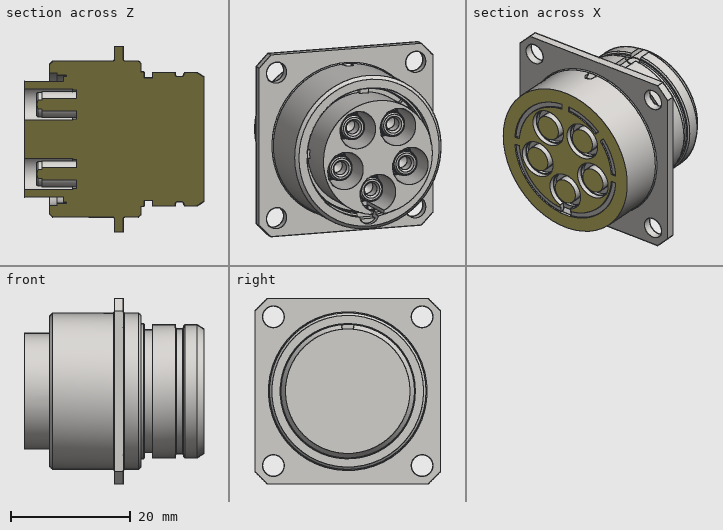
import cadquery as cq
import math

overall_length = 30.0

flange_size = 31.0
flange_front = 15.05
flange_back = 16.52
flange_corner = 2.1
flange_hole_pitch = 24.8
flange_hole_diameter = 3.55

shell_front = 4.2
shell_back = 19.47
shell_radius = 13.05
shell_front_chamfer = 0.55
shell_back_chamfer = 0.4
flare = 0.2

collar_radius = 11.28
collar_back = 20.03
collar_chamfer = 0.15
neck_radius = 10.25
sleeve_front = 21.35
sleeve_radius = 11.15
groove_front = 25.2
groove_back = 26.8
groove_radius = 10.48
groove_foot = 0.2
groove_lip = 0.25
tail_length = 1.2
tail_drop = 0.78

bore_steps = [(11.05, 1.25), (10.65, 2.8), (10.55, 3.25)]

notch_radius = 1.75
notch_centre = 10.45
notch_depth = 0.93
notch_floor = 11.4
notch_floor_depth = 2.48

insert_radius = 9.7
key_width = 1.45
key_front = 6.5
key_angles = [0, 45, 90, 180]
slot_width = 2.1
slot_depth = 8.05
ramp_width = 1.75
ramp_inner = 9.83
ramp_outer = 10.42

contact_count = 5
contact_circle = 6.08
socket_radius = 3.15
socket_inner_radius = 3.05
socket_step_depth = 8.05
socket_depth = 8.68
contact_radius = 2.17
contact_tip_radius = 2.05
contact_tip_length = 0.93
contact_front = 2.0
bottom_contact_front = 2.9
contact_chamfer = 0.25
pin_hole_radius = 1.12
pin_hole_depth = 2.48
pin_hole_countersink = 0.3
pin_hole_countersink_depth = 0.5
pin_hole_point = 0.62

locator_width = 1.52
locator_front = 13.05
locator_depth = 0.55
locator_ramp_start = 14.0

sleeve_slot_width = 2.15
sleeve_slot_floor_width = 1.8
sleeve_slot_floor = 10.4
dimple_radius = 1.02
dimple_depth = 0.1

overlap = 0.3

FACE = cq.Plane(origin=(0, 0, 0), xDir=(0, 1, 0), normal=(1, 0, 0))


def cylinder(front, back, radius, y=0, z=0):
    return cq.Workplane(FACE).workplane(offset=front).center(y, z).circle(radius).extrude(back - front)


def block(front, back, width, bottom, top):
    length = back - front
    height = top - bottom
    solid = cq.Workplane("XY").box(length, width, height, centered=(False, True, False))
    return solid.translate((front, 0, bottom))


def revolve_about_x(profile, y=0, z=0):
    """Revolve (x, radius) points about an axis parallel to X."""
    solid = cq.Workplane("XY").polyline(profile).close().revolve(360, (0, 0, 0), (1, 0, 0))
    return solid.translate((0, y, z))


def make_body():
    tail_front = overall_length - tail_length
    return revolve_about_x([
        (shell_front, 0),
        (shell_front, shell_radius - shell_front_chamfer),
        (shell_front + shell_front_chamfer, shell_radius),
        (flange_front - flare, shell_radius),
        (flange_front, shell_radius + flare),
        (flange_back, shell_radius + flare),
        (flange_back + flare, shell_radius),
        (shell_back - shell_back_chamfer, shell_radius),
        (shell_back, shell_radius - shell_back_chamfer),
        (shell_back, collar_radius),
        (collar_back - collar_chamfer, collar_radius),
        (collar_back, collar_radius - collar_chamfer),
        (collar_back, neck_radius),
        (sleeve_front, neck_radius),
        (sleeve_front, sleeve_radius),
        (groove_front, sleeve_radius),
        (groove_front, groove_radius + groove_foot),
        (groove_front + groove_foot, groove_radius),
        (groove_back - groove_lip - groove_foot, groove_radius),
        (groove_back - groove_lip, groove_radius + groove_foot),
        (groove_back - groove_lip, sleeve_radius - groove_lip),
        (groove_back, sleeve_radius),
        (tail_front, sleeve_radius),
        (overall_length, sleeve_radius - tail_drop),
        (overall_length, 0),
    ])


def make_flange():
    plate = block(flange_front, flange_back, flange_size, -flange_size / 2, flange_size / 2)
    plate = plate.edges("|X").chamfer(flange_corner)
    for y_side in (-1, 1):
        for z_side in (-1, 1):
            y = y_side * flange_hole_pitch / 2
            z = z_side * flange_hole_pitch / 2
            plate = plate.cut(cylinder(flange_front, flange_back, flange_hole_diameter / 2, y, z))
    return plate


def make_bore():
    """Stepped bore with a round notch that becomes flat-bottomed behind its front part."""
    notch_step = shell_front + notch_depth
    notch_back = shell_front + notch_floor_depth
    bore = cylinder(shell_front, notch_back, notch_radius, 0, -notch_centre)
    bore = bore.cut(block(notch_step, notch_back, shell_radius, -shell_radius, -notch_floor))
    front = shell_front
    for radius, depth in bore_steps:
        back = shell_front + depth
        bore = bore.union(cylinder(front, back, radius))
        front = back
    return bore


def make_insert():
    bore_radius, bore_depth = bore_steps[-1]
    bore_floor = shell_front + bore_depth
    insert = cylinder(0, bore_floor + overlap, insert_radius)
    key = block(key_front, bore_floor + overlap, key_width, 0, bore_radius)
    for angle in key_angles:
        insert = insert.union(key.rotate((0, 0, 0), (1, 0, 0), 90 - angle))
    return insert


def make_socket(y, z):
    return cylinder(0, socket_step_depth, socket_radius, y, z).union(
        cylinder(0, socket_depth, socket_inner_radius, y, z))


def make_contact(front, y, z):
    hole_end = front + pin_hole_depth
    shoulder = front + contact_tip_length
    contact_back = socket_depth + overlap
    return revolve_about_x([
        (hole_end + pin_hole_point, 0),
        (hole_end, pin_hole_radius),
        (front + pin_hole_countersink_depth, pin_hole_radius),
        (front, pin_hole_radius + pin_hole_countersink),
        (front, contact_tip_radius - contact_chamfer),
        (front + contact_chamfer, contact_tip_radius),
        (shoulder, contact_tip_radius),
        (shoulder, contact_radius),
        (contact_back, contact_radius),
        (contact_back, 0),
    ], y, z)


def make_slot_ramp():
    """Wedge closing the end of the bottom slot; its front face slopes outwards."""
    return (
        cq.Workplane("XZ")
        .polyline([
            (slot_depth - (ramp_outer - ramp_inner), -ramp_outer),
            (slot_depth, -ramp_inner),
            (slot_depth + overlap, -ramp_inner),
            (slot_depth + overlap, -ramp_outer),
        ])
        .close()
        .extrude(ramp_width / 2, both=True)
    )


def make_locator():
    """Round-ended slot whose floor ramps up to the surface at the flange."""
    end_radius = locator_width / 2
    end_centre = locator_front + end_radius
    ramp_end = flange_front - flare
    outline = (
        cq.Workplane("XY")
        .moveTo(ramp_end, -end_radius)
        .lineTo(end_centre, -end_radius)
        .threePointArc((locator_front, 0), (end_centre, end_radius))
        .lineTo(ramp_end, end_radius)
        .close()
        .extrude(shell_radius + overlap)
    )
    floor = shell_radius - locator_depth
    side = (
        cq.Workplane("XZ")
        .polyline([
            (locator_front, floor),
            (locator_ramp_start, floor),
            (ramp_end, shell_radius),
            (ramp_end, shell_radius + overlap),
            (locator_front, shell_radius + overlap),
        ])
        .close()
        .extrude(end_radius, both=True)
    )
    return outline.intersect(side)


def make_sleeve_slot():
    """Flat-floored slot with sloping sides and a shallow round dimple."""
    slot = (
        cq.Workplane(FACE)
        .workplane(offset=sleeve_front)
        .polyline([
            (-sleeve_slot_floor_width / 2, sleeve_slot_floor),
            (sleeve_slot_floor_width / 2, sleeve_slot_floor),
            (sleeve_slot_width / 2, sleeve_radius),
            (-sleeve_slot_width / 2, sleeve_radius),
        ])
        .close()
        .extrude(overall_length - sleeve_front)
    )
    dimple_floor = sleeve_slot_floor - dimple_depth
    dimple = (
        cq.Workplane("XY", origin=((groove_front + groove_back) / 2, 0, dimple_floor))
        .circle(dimple_radius)
        .extrude(sleeve_radius - dimple_floor)
    )
    return slot.union(dimple)


result = make_body().cut(make_locator())
result = result.union(make_flange()).cut(make_bore())
result = result.union(make_insert())
result = result.cut(block(0, slot_depth, slot_width, -bore_steps[-1][0], -contact_circle))

for index in range(contact_count):
    angle = 2 * math.pi * index / contact_count - math.pi / 2
    y = contact_circle * math.cos(angle)
    z = contact_circle * math.sin(angle)
    front = bottom_contact_front if index == 0 else contact_front
    result = result.cut(make_socket(y, z)).union(make_contact(front, y, z))

result = result.union(make_slot_ramp()).cut(make_sleeve_slot())